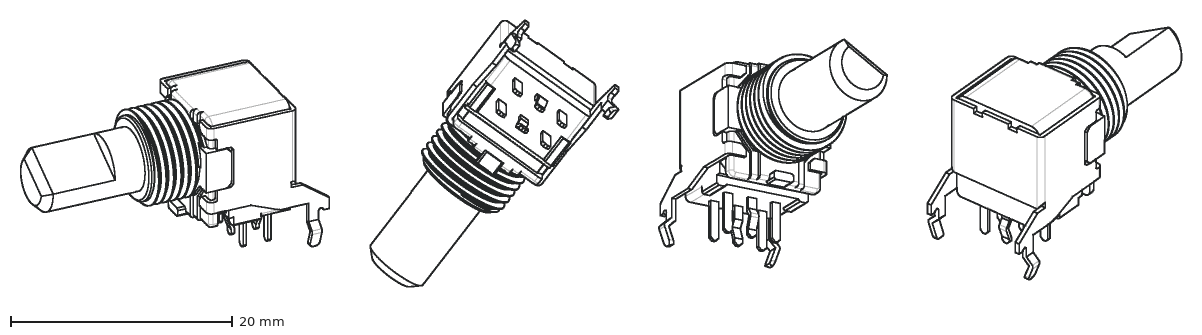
import cadquery as cq
import math


SHAFT_RADIUS = 3.0
SHAFT_LENGTH = 15.0
SHAFT_TIP_CHAMFER = 0.8
FLAT_LENGTH = 7.0
FLAT_DISTANCE = 1.5
FLAT_ANGLE = 30.0
BUSHING_RADIUS = 4.0
BUSHING_LENGTH = 5.0
BUSHING_CHAMFER = 0.2
THREAD_RADIUS = 4.5
THREAD_PITCH = 0.75
THREAD_START = 0.2
THREAD_END = -4.55
THREAD_BASE_WIDTH = 0.72
THREAD_CREST_WIDTH = 0.12
THREAD_OVERLAP = 0.1

SHEET = 0.45
CASE_HALF_WIDTH = 5.3
CASE_INNER_HALF_WIDTH = CASE_HALF_WIDTH - SHEET
CASE_FRONT = 0.27
CASE_BACK = 9.17
CASE_TOP = 4.38
CASE_SIDE_BOTTOM = -CASE_TOP
CASE_BACK_BOTTOM = -3.48
CASE_BEND_RADIUS = 0.5
RELIEF_HEIGHT = 0.58
RELIEF_LENGTH = 0.6
TAB_INNER = 3.35
TAB_HEIGHT = 1.17
TAB_CHAMFER = 0.47
NOTCH_END = 1.15
NOTCH_RADIUS = 0.2
WINDOW_END = 2.8
WINDOW_RADIUS = 0.5
WINDOW_CLEARANCE = 0.03
BACK_NOTCH_CENTRE = 2.0
BACK_NOTCH_WIDTH = 1.0
BACK_NOTCH_DEPTH = 0.5

BODY_HALF_WIDTH = 4.78
BODY_TOP = 4.87
BODY_BOTTOM = -6.25
BODY_TOP_RADIUS = 1.0
BODY_BOTTOM_RADIUS = 0.5
NECK_END = 2.54
NECK_BOTTOM = -5.2
NECK_BEVEL_TOP = -4.4
NECK_BEVEL_BOTTOM = -4.97
STEP_END = 3.04
STEP_BOTTOM = -5.53
FOOT_END = 5.77
FOOT_BOTTOM = -6.48
FOOT_INNER = 3.73
FOOT_SLOPE = 0.2

PLATE_BACK = 1.46
PLATE_STEP = 0.31
PLATE_EDGE_RADIUS = 0.33
MIDDLE_HALF_WIDTH = 2.78
CENTRE_HALF_WIDTH = 2.03
MIDDLE_SHOULDER = (2.78, 3.79)
MIDDLE_CORNER = (4.28, 2.0)
CENTRE_SHOULDER = (2.55, 3.65)
CENTRE_CORNER = (4.0, 1.95)
LUG_HALF_HEIGHT = 2.03
LUG_HALF_WIDTH = 5.36
LUG_LENGTH = 2.55
LUG_CORNER = 0.45
KEY_HALF_WIDTH = 1.03
KEY_TOP = -5.6
KEY_BOTTOM = -6.45
KEY_FRONT = -0.78
KEY_CHAMFER = 0.18

ARM_BOTTOM = -5.53
ARM_SLOPE_FRONT = 4.52
ARM_SLOPE_BACK = 7.43
ARM_SHOULDER = 9.69
ARM_END = 12.38
ARM_END_TOP = -5.42
ARM_END_BOTTOM = -6.54
ARM_CORNER_RADIUS = 0.25
LEG_FRONT = 10.31
LEG_BACK = 11.3
LEG_KINK_TOP = -7.5
LEG_KNEE = (5.84, -8.22)
LEG_TIP = (5.2, -9.93)
LEG_KNEE_RADIUS = 0.3
LEG_END_ROUNDING = 0.98
TERMINAL_BOTTOM = -10.03

PIN_SPACING = 2.5
FRONT_ROW = 5.03
BACK_ROW = 7.5
PIN_WIDTH = 0.86
PIN_THICKNESS = 0.33
PIN_TIP_CHAMFER = 0.28
PIN_ROOT = -5.9
BULGE_TOP = -7.38
BULGE_APEX = -8.06
BULGE_BOTTOM = -9.3
BULGE_DEPTH = 0.46
BULGE_RADIUS = 0.4
BACK_BULGE_DROP = 0.12


def box(x_range, y_range, z_range):
    """Axis-aligned block between the given limits."""
    size = [high - low for low, high in (x_range, y_range, z_range)]
    corner = (x_range[0], y_range[0], z_range[0])
    return cq.Workplane("XY").box(*size, centered=False).translate(corner)


def prism_along_x(points, x_start, x_end):
    """Prism with a closed (Y, Z) outline."""
    return cq.Workplane("YZ", origin=(x_start, 0, 0)).polyline(points).close().extrude(x_end - x_start)


def prism_along_y(points, y_start, y_end):
    """Prism with a closed (X, Z) outline."""
    return cq.Workplane("XZ", origin=(0, y_end, 0)).polyline(points).close().extrude(y_end - y_start)


def cylinder(radius, y_front, y_back):
    """Cylinder on the shaft axis."""
    return cq.Workplane("XZ", origin=(0, y_back, 0)).circle(radius).extrude(y_back - y_front)


def both_sides(shape):
    """The shape together with its mirror image in X."""
    return shape.union(shape.mirror("YZ"))


def strip_outline(path, thickness):
    """Closed outline of a bent strip with mitred bends, centred on an open path."""
    angles = [math.atan2(b[1] - a[1], b[0] - a[0]) for a, b in zip(path, path[1:])]
    left = []
    right = []
    for index, (u, v) in enumerate(path):
        before = angles[max(index - 1, 0)]
        after = angles[min(index, len(angles) - 1)]
        normal = (before + after) / 2 + math.pi / 2
        offset = thickness / 2 / math.cos((after - before) / 2)
        du = offset * math.cos(normal)
        dv = offset * math.sin(normal)
        left.append((u + du, v + dv))
        right.append((u - du, v - dv))
    return left + right[::-1]


def make_shaft():
    shaft = cylinder(SHAFT_RADIUS, -SHAFT_LENGTH, 0)
    flat_cut = box(
        (-SHAFT_RADIUS, SHAFT_RADIUS),
        (-SHAFT_LENGTH, FLAT_LENGTH - SHAFT_LENGTH),
        (FLAT_DISTANCE, SHAFT_RADIUS),
    ).rotate((0, 0, 0), (0, 1, 0), FLAT_ANGLE)
    return shaft.cut(flat_cut).faces("<Y").chamfer(SHAFT_TIP_CHAMFER)


def make_thread():
    """Right-handed ridge, swept along +Z and then turned to run towards -Y."""
    root = BUSHING_RADIUS - THREAD_OVERLAP
    run_out = THREAD_PITCH / 2
    helix = cq.Wire.makeHelix(THREAD_PITCH, THREAD_START - THREAD_END + run_out, root)
    profile = [
        (root, -THREAD_BASE_WIDTH / 2),
        (THREAD_RADIUS, -THREAD_CREST_WIDTH / 2),
        (THREAD_RADIUS, THREAD_CREST_WIDTH / 2),
        (root, THREAD_BASE_WIDTH / 2),
    ]
    ridge = cq.Workplane("XZ").polyline(profile).close().sweep(cq.Workplane(helix), isFrenet=True)
    ridge = ridge.rotate((0, 0, 0), (1, 0, 0), 90).translate((0, THREAD_START, 0))
    return ridge.intersect(cylinder(THREAD_RADIUS + THREAD_OVERLAP, THREAD_END, PLATE_BACK))


def make_bushing():
    bushing = cylinder(BUSHING_RADIUS, -BUSHING_LENGTH, PLATE_BACK)
    return bushing.faces("<Y").chamfer(BUSHING_CHAMFER).union(make_thread())


def make_body():
    back = CASE_BACK - SHEET
    body = box((-BODY_HALF_WIDTH, BODY_HALF_WIDTH), (PLATE_BACK, back), (BODY_BOTTOM, BODY_TOP))
    body = body.edges("|Y and >Z").fillet(BODY_TOP_RADIUS)
    body = body.edges("|Y and <Z").fillet(BODY_BOTTOM_RADIUS)
    full_width = (-CASE_HALF_WIDTH, CASE_HALF_WIDTH)
    body = body.cut(box(full_width, (PLATE_BACK, NECK_END), (BODY_BOTTOM, NECK_BOTTOM)))
    body = body.cut(box(full_width, (NECK_END, STEP_END), (BODY_BOTTOM, STEP_BOTTOM)))
    neck_half_width = BODY_HALF_WIDTH - (NECK_BEVEL_TOP - NECK_BEVEL_BOTTOM)
    neck_bevel = prism_along_y(
        [
            (BODY_HALF_WIDTH, NECK_BEVEL_TOP),
            (neck_half_width, NECK_BEVEL_BOTTOM),
            (neck_half_width, NECK_BOTTOM),
            (BODY_HALF_WIDTH, NECK_BOTTOM),
        ],
        PLATE_BACK,
        NECK_END,
    )
    foot = prism_along_y(
        [
            (BODY_HALF_WIDTH, STEP_BOTTOM),
            (BODY_HALF_WIDTH, FOOT_BOTTOM + FOOT_SLOPE),
            (BODY_HALF_WIDTH - FOOT_SLOPE, FOOT_BOTTOM),
            (FOOT_INNER + FOOT_SLOPE, FOOT_BOTTOM),
            (FOOT_INNER, FOOT_BOTTOM + FOOT_SLOPE),
            (FOOT_INNER, STEP_BOTTOM),
        ],
        STEP_END,
        FOOT_END,
    )
    return body.cut(both_sides(neck_bevel)).union(both_sides(foot))


def plate_layer(half_width, front, shoulder, corner):
    """One step of the front plate, widened around the bushing."""
    layer = box((-half_width, half_width), (front, PLATE_BACK), (BODY_BOTTOM, BODY_TOP))
    layer = layer.edges("<Y and |X").fillet(PLATE_EDGE_RADIUS)
    upper = [shoulder, corner]
    right = upper + [(x, -z) for x, z in reversed(upper)]
    left = [(-x, z) for x, z in reversed(right)]
    return layer.union(prism_along_y(right + left, front, PLATE_BACK))


def make_plate():
    base_front = 2 * PLATE_STEP
    base = box((-BODY_HALF_WIDTH, BODY_HALF_WIDTH), (base_front, PLATE_BACK), (BODY_BOTTOM, BODY_TOP))
    base = base.edges("|Y and >Z").fillet(BODY_TOP_RADIUS)
    base = base.edges("|Y and <Z").fillet(BODY_BOTTOM_RADIUS)
    base = base.faces("<Y").edges().fillet(PLATE_EDGE_RADIUS)
    middle = plate_layer(MIDDLE_HALF_WIDTH, PLATE_STEP, MIDDLE_SHOULDER, MIDDLE_CORNER)
    centre = plate_layer(CENTRE_HALF_WIDTH, 0, CENTRE_SHOULDER, CENTRE_CORNER)
    lugs = box(
        (-LUG_HALF_WIDTH, LUG_HALF_WIDTH), (0, LUG_LENGTH), (-LUG_HALF_HEIGHT, LUG_HALF_HEIGHT)
    )
    lugs = lugs.edges("|X and >Y").chamfer(LUG_CORNER)
    key = box((-KEY_HALF_WIDTH, KEY_HALF_WIDTH), (KEY_FRONT, base_front), (KEY_BOTTOM, KEY_TOP))
    key = key.edges("|Y").chamfer(KEY_CHAMFER)
    return base.union(middle).union(centre).union(lugs).union(key)


def make_case_shell():
    """Bent sheet open at top and bottom: two sides, a back and four front tabs."""
    outer = box(
        (-CASE_HALF_WIDTH, CASE_HALF_WIDTH), (CASE_FRONT, CASE_BACK), (CASE_SIDE_BOTTOM, CASE_TOP)
    ).edges("|Z").fillet(CASE_BEND_RADIUS)
    inside = box(
        (-CASE_INNER_HALF_WIDTH, CASE_INNER_HALF_WIDTH),
        (CASE_FRONT + SHEET, CASE_BACK - SHEET),
        (CASE_SIDE_BOTTOM, CASE_TOP),
    )
    tab_bottom = CASE_TOP - TAB_HEIGHT
    opening_outline = [
        (TAB_INNER, CASE_TOP),
        (TAB_INNER, tab_bottom + TAB_CHAMFER),
        (TAB_INNER + TAB_CHAMFER, tab_bottom),
        (CASE_HALF_WIDTH, tab_bottom),
    ]
    right = opening_outline + [(x, -z) for x, z in reversed(opening_outline)]
    left = [(-x, z) for x, z in reversed(right)]
    front_opening = prism_along_y(right + left, CASE_FRONT, CASE_FRONT + SHEET)
    notches = box(
        (-CASE_HALF_WIDTH, CASE_HALF_WIDTH), (CASE_FRONT, NOTCH_END), (-tab_bottom, tab_bottom)
    ).edges("|X and >Y").fillet(NOTCH_RADIUS)
    window_half = LUG_HALF_HEIGHT + WINDOW_CLEARANCE
    window = box(
        (-CASE_HALF_WIDTH, CASE_HALF_WIDTH), (CASE_FRONT, WINDOW_END), (-window_half, window_half)
    ).edges("|X and >Y").fillet(WINDOW_RADIUS)
    below_back = box(
        (-CASE_INNER_HALF_WIDTH, CASE_INNER_HALF_WIDTH),
        (CASE_BACK - SHEET, CASE_BACK),
        (CASE_SIDE_BOTTOM, CASE_BACK_BOTTOM),
    )
    back_notch = box(
        (BACK_NOTCH_CENTRE - BACK_NOTCH_WIDTH / 2, BACK_NOTCH_CENTRE + BACK_NOTCH_WIDTH / 2),
        (CASE_BACK - SHEET, CASE_BACK),
        (CASE_TOP - BACK_NOTCH_DEPTH, CASE_TOP),
    )
    shell = outer.cut(inside).cut(front_opening).cut(notches).cut(window)
    return shell.cut(below_back).cut(both_sides(back_notch))


def make_arm():
    """Rearward extension of the right-hand case side."""
    outline = [
        (ARM_SLOPE_FRONT, CASE_SIDE_BOTTOM),
        (ARM_SLOPE_BACK, ARM_BOTTOM),
        (LEG_FRONT, ARM_BOTTOM),
        (LEG_FRONT, LEG_KINK_TOP),
        (LEG_BACK, LEG_KINK_TOP),
        (LEG_BACK, ARM_END_BOTTOM),
        (ARM_END, ARM_END_BOTTOM),
        (ARM_END, ARM_END_TOP),
        (ARM_SHOULDER, CASE_BACK_BOTTOM),
        (ARM_SLOPE_FRONT, CASE_BACK_BOTTOM),
    ]
    arm = prism_along_x(outline, CASE_INNER_HALF_WIDTH, CASE_HALF_WIDTH)
    relief_origin = (CASE_INNER_HALF_WIDTH, LEG_BACK + ARM_CORNER_RADIUS, ARM_END_BOTTOM)
    corner_relief = cq.Workplane("YZ", origin=relief_origin).circle(ARM_CORNER_RADIUS).extrude(SHEET)
    return arm.cut(corner_relief)


def make_leg():
    """Kinked snap-in leg below the right-hand arm, with a rounded end."""
    middle = CASE_HALF_WIDTH - SHEET / 2
    path = [(middle, ARM_BOTTOM), (middle, LEG_KINK_TOP), LEG_KNEE, LEG_TIP]
    strip = prism_along_y(strip_outline(path, SHEET), LEG_FRONT, LEG_BACK)
    strip = strip.edges("|Y and >X").fillet(LEG_KNEE_RADIUS)
    end_radius = (LEG_BACK - LEG_FRONT) / 2
    reach = LEG_KNEE[0] + SHEET
    blank = box((0, reach), (LEG_FRONT, LEG_BACK), (TERMINAL_BOTTOM, ARM_BOTTOM))
    blank = blank.edges("|X and <Z").fillet(LEG_END_ROUNDING * end_radius)
    return strip.intersect(blank)


def make_case():
    case = make_case_shell().union(both_sides(make_arm().union(make_leg())))
    relief = prism_along_y(
        [
            (CASE_HALF_WIDTH, CASE_BACK_BOTTOM + RELIEF_HEIGHT),
            (CASE_INNER_HALF_WIDTH, CASE_BACK_BOTTOM),
            (CASE_HALF_WIDTH, CASE_BACK_BOTTOM),
        ],
        CASE_BACK - RELIEF_LENGTH,
        CASE_BACK,
    )
    return case.cut(both_sides(relief))


def pin_blank(x_centre, y_range):
    """Block with the pin width and bevelled tip."""
    half = PIN_WIDTH / 2
    blank = box((x_centre - half, x_centre + half), y_range, (TERMINAL_BOTTOM, PIN_ROOT))
    return blank.edges("|Y and <Z").chamfer(PIN_TIP_CHAMFER)


def make_straight_pin(x_centre, y_centre):
    half = PIN_THICKNESS / 2
    return pin_blank(x_centre, (y_centre - half, y_centre + half))


def make_kinked_pin(y_centre, direction, drop):
    """Centre pin whose strip bulges along Y in the given direction, lowered by the drop."""
    path = [
        (y_centre, PIN_ROOT),
        (y_centre, BULGE_TOP - drop),
        (y_centre + direction * BULGE_DEPTH, BULGE_APEX - drop),
        (y_centre, BULGE_BOTTOM - drop),
        (y_centre, TERMINAL_BOTTOM),
    ]
    strip = prism_along_x(strip_outline(path, PIN_THICKNESS), -PIN_WIDTH / 2, PIN_WIDTH / 2)
    outermost = ">Y" if direction > 0 else "<Y"
    strip = strip.edges(f"|X and {outermost}").fillet(BULGE_RADIUS)
    reach = PIN_THICKNESS + BULGE_DEPTH
    return strip.intersect(pin_blank(0, (y_centre - reach, y_centre + reach)))


def make_pins():
    pins = make_kinked_pin(FRONT_ROW, -1, 0)
    pins = pins.union(make_kinked_pin(BACK_ROW, 1, BACK_BULGE_DROP))
    for y_centre in (FRONT_ROW, BACK_ROW):
        for x_centre in (-PIN_SPACING, PIN_SPACING):
            pins = pins.union(make_straight_pin(x_centre, y_centre))
    return pins


result = (
    make_body()
    .union(make_plate())
    .union(make_case())
    .union(make_pins())
    .union(make_bushing())
    .union(make_shaft())
)